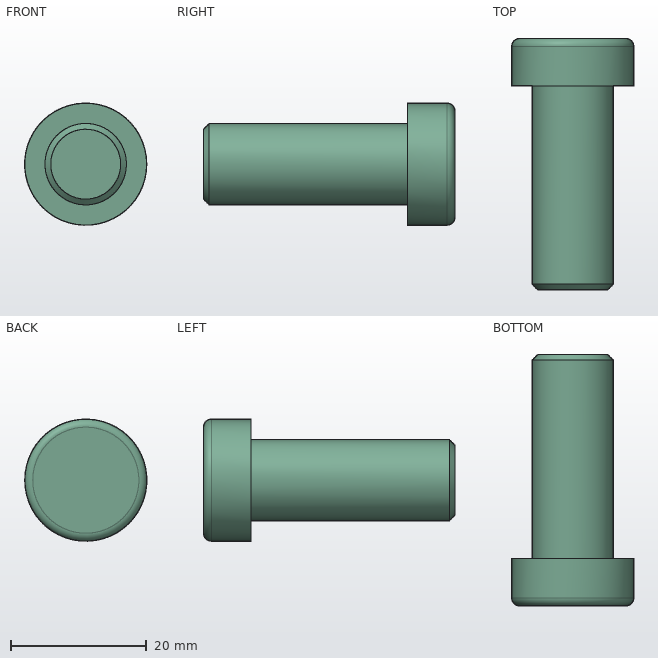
import cadquery as cq

total_length = 37.0
head_diameter = 18.0
head_height = 7.0
head_edge_radius = 1.2
shank_diameter = 12.0
tip_chamfer = 0.85

shank_length = total_length - head_height


def cylinder_along_y(diameter, length, start_y):
    """Cylinder centred on the Y axis, running from start_y towards +Y."""
    plane = cq.Plane(origin=(0, start_y, 0), xDir=(1, 0, 0), normal=(0, 1, 0))
    return cq.Workplane(plane).circle(diameter / 2).extrude(length)


head = cylinder_along_y(head_diameter, head_height, shank_length)
head = head.faces(">Y").edges().fillet(head_edge_radius)

shank = cylinder_along_y(shank_diameter, shank_length, 0)
shank = shank.faces("<Y").edges().chamfer(tip_chamfer)

result = head.union(shank)